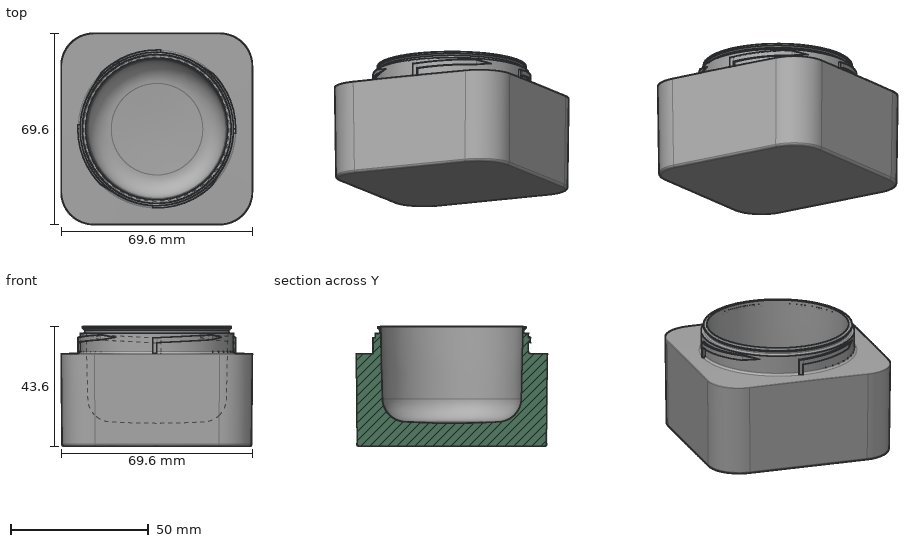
import cadquery as cq
import math

body_width = 69.58
total_height = 43.59

body_base_width = 68.9
body_corner_radius = 12.0
base_fillet = 0.9
deck_edge_height = 33.72
deck_edge_fillet = 0.15
deck_slope = math.radians(0.8)

neck_radius = 55.77 / 2
neck_top = 41.1
neck_embed = 2.0
neck_base_fillet = 0.8
groove_radius = 52.45 / 2
groove_fillet = 0.5
lip_radius = 27.1
lip_underside_low = 42.2
lip_underside_high = 42.85
lip_round = 0.3

mouth_radius = 51.59 / 2
wall_foot_radius = 25.2
wall_foot_height = 17.3
floor_edge_radius = 16.65
floor_edge_height = 9.0
floor_center_height = 8.5

thread_count = 4
thread_pitch = 8.5
thread_outer_radius = 28.7
thread_embed = 0.5
thread_root_radius = neck_radius - thread_embed
thread_start_height = 38.6
thread_width = 1.8
thread_full_angle = 44.5
thread_end_angle = 57.5
stop_width = 1.5

axis_start = (0, 0, 0)
axis_end = (0, 1, 0)
axis_foot = (0, 0, 0)
axis_tip = (0, 0, 1)


def deck_height(radius):
    """Height of the conical deck at a distance from the axis."""
    return deck_edge_height + (body_width / 2 - radius) * math.tan(deck_slope)


def rounded_square(width, height):
    """Square sketch with rounded corners, lying at a given height."""
    return (
        cq.Sketch()
        .rect(width, width)
        .vertices()
        .fillet(body_corner_radius)
        .moved(cq.Location(cq.Vector(0, 0, height)))
    )


def make_body():
    """Drafted block with rounded corners, cut off on top by the shallow deck cone."""
    loft_top = deck_height(0)
    draft = (body_width - body_base_width) / deck_edge_height
    loft_top_width = body_base_width + draft * loft_top
    block = (
        cq.Workplane("XY")
        .placeSketch(rounded_square(body_base_width, 0), rounded_square(loft_top_width, loft_top))
        .loft(ruled=True)
    )
    block = block.faces("<Z").edges().fillet(base_fillet)
    reach = body_width
    deck_cone = (
        cq.Workplane("XZ")
        .polyline([(0, 0), (reach, 0), (reach, deck_height(reach)), (0, deck_height(0))])
        .close()
        .revolve(360, axis_start, axis_end)
    )
    block = block.intersect(deck_cone)
    return block.faces(">Z").edges().fillet(deck_edge_fillet)


def make_neck():
    """Solid neck with a groove under a rounded lip, sunk a little into the body."""
    base_radius = neck_radius + neck_base_fillet
    base_height = deck_height(base_radius)
    embed_height = deck_edge_height - neck_embed
    diagonal = math.sqrt(0.5)
    lip_middle = (lip_underside_high + total_height) / 2
    return (
        cq.Workplane("XZ")
        .moveTo(0, embed_height)
        .lineTo(base_radius, embed_height)
        .lineTo(base_radius, base_height)
        .threePointArc(
            (
                base_radius - neck_base_fillet * diagonal,
                base_height + neck_base_fillet * (1 - diagonal),
            ),
            (neck_radius, base_height + neck_base_fillet),
        )
        .lineTo(neck_radius, neck_top)
        .lineTo(groove_radius + groove_fillet, neck_top)
        .threePointArc(
            (
                groove_radius + groove_fillet * (1 - diagonal),
                neck_top + groove_fillet * (1 - diagonal),
            ),
            (groove_radius, neck_top + groove_fillet),
        )
        .lineTo(groove_radius, lip_underside_low)
        .lineTo(lip_radius - lip_round, lip_underside_high)
        .threePointArc((lip_radius, lip_middle), (lip_radius - lip_round, total_height))
        .lineTo(0, total_height)
        .close()
        .revolve(360, axis_start, axis_end)
    )


def make_cavity():
    """Space to remove from the neck and body."""
    dish_depth = floor_edge_height - floor_center_height
    dish_radius = (floor_edge_radius**2 + dish_depth**2) / (2 * dish_depth)
    half_radius = floor_edge_radius / 2
    half_height = floor_center_height + dish_radius - math.sqrt(dish_radius**2 - half_radius**2)
    return (
        cq.Workplane("XZ")
        .moveTo(0, total_height)
        .lineTo(mouth_radius, total_height)
        .lineTo(wall_foot_radius, wall_foot_height)
        .tangentArcPoint((floor_edge_radius, floor_edge_height), relative=False)
        .threePointArc((half_radius, half_height), (0, floor_center_height))
        .close()
        .revolve(360, axis_start, axis_end)
    )


def make_runout(section):
    """Pyramid narrowing from the thread section at Y = 0 to a point on the neck surface."""
    angle = math.radians(thread_end_angle - thread_full_angle)
    tip = cq.Vector(neck_radius * math.cos(angle), neck_radius * math.sin(angle), 0)
    corners = [cq.Vector(radius, 0, height) for radius, height in section]
    faces = [cq.Face.makeFromWires(cq.Wire.makePolygon(corners, close=True))]
    for start, end in zip(corners, corners[1:] + corners[:1]):
        faces.append(cq.Face.makeFromWires(cq.Wire.makePolygon([start, end, tip], close=True)))
    return cq.Workplane(cq.Solid.makeSolid(cq.Shell.makeShell(faces)))


def make_thread():
    """One thread start: helical ridge rising from -Y toward +X and fading out to a point."""
    half_width = thread_width / 2
    section = [
        (thread_root_radius, -half_width),
        (thread_outer_radius, -half_width),
        (thread_outer_radius, half_width),
        (thread_root_radius, half_width),
    ]
    rise = thread_pitch * thread_full_angle / 360
    helix = cq.Wire.makeHelix(thread_pitch, rise, thread_root_radius)
    ridge = cq.Workplane("XZ").polyline(section).close().sweep(cq.Workplane(helix), isFrenet=True)
    runout = make_runout(section).rotate(axis_foot, axis_tip, thread_full_angle).translate((0, 0, rise))
    ridge = ridge.union(runout)
    return ridge.rotate(axis_foot, axis_tip, -90).translate((0, 0, thread_start_height))


def make_stop():
    """Vertical bar closing the low end of a thread start."""
    foot = deck_edge_height - neck_embed
    top = thread_start_height + thread_width / 2
    return (
        cq.Workplane("XY", origin=(0, 0, foot))
        .moveTo(-stop_width, -thread_outer_radius)
        .lineTo(0, -thread_outer_radius)
        .lineTo(0, -thread_root_radius)
        .lineTo(-stop_width, -thread_root_radius)
        .close()
        .extrude(top - foot)
    )


result = make_body().union(make_neck())
thread_start = make_thread().union(make_stop())
for index in range(thread_count):
    result = result.union(thread_start.rotate(axis_foot, axis_tip, index * 360 / thread_count))
result = result.cut(make_cavity())